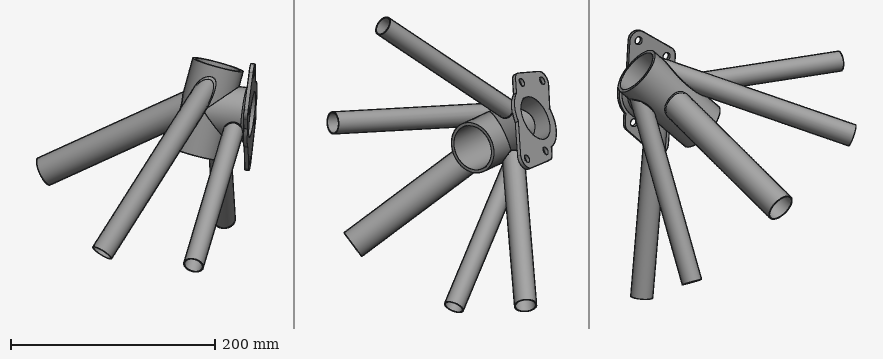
import cadquery as cq
import math

HEAD_RADIUS = 25.6
HEAD_BORE_RADIUS = 22.5
HEAD_LENGTH = 90.0
HEAD_TILT = 42.0

STUB_RADIUS = HEAD_RADIUS
STUB_BORE_RADIUS = HEAD_BORE_RADIUS
BRACKET_SWING = 12.0
PLATE_OUTER_FACE = 45.8
PLATE_THICKNESS = 4.0
PLATE_DISC_RADIUS = 32.5
LUG_RADIUS = 10.0
LUG_HOLE_RADIUS = 4.0
COLLAR_SIZE = 4.0
LUGS = [(10.5, 51.0), (-21.0, 31.5), (-13.0, -56.5), (15.7, -31.0)]

WALL = 1.0
LARGE_RADIUS = 14.7
MEDIUM_RADIUS = 11.0
SMALL_RADIUS = 10.0

SIDE_TUBE = ((-143.6, -68.8, -82.0), (0, 8.0, 10.0), LARGE_RADIUS)
FRONT_TUBE = ((-42.6, -174.5, -39.8), (3.7, 21.2, 35.0), MEDIUM_RADIUS)
LOWER_TUBE = ((-69.5, -1.3, -168.8), (0, 34.5, 19.4), SMALL_RADIUS)
DOWN_TUBE = ((9.7, 25.0, -200.0), (8.5, 7.8, 7.8), MEDIUM_RADIUS)
BRACKET_TUBE = ((60.5, -194.0, 10.2), (35.0, -13.0, 3.0), SMALL_RADIUS)


def rod(start, end, radius):
    """Solid cylinder between two points."""
    axis = cq.Vector(*end) - cq.Vector(*start)
    return cq.Solid.makeCylinder(radius, axis.Length, cq.Vector(*start), axis)


half_length = HEAD_LENGTH / 2
head_top = (
    0,
    half_length * math.cos(math.radians(HEAD_TILT)),
    half_length * math.sin(math.radians(HEAD_TILT)),
)
head_bottom = tuple(-value for value in head_top)
head_envelope = rod(head_bottom, head_top, HEAD_RADIUS)
head_tube = head_envelope.cut(rod(head_bottom, head_top, HEAD_BORE_RADIUS)).Solids()[0]

swing = math.radians(BRACKET_SWING)
stub_direction = cq.Vector(math.cos(swing), math.sin(swing), 0)
plate_direction = cq.Vector(-math.sin(swing), math.cos(swing), 0)
bracket_plane = cq.Plane((0, 0, 0), plate_direction, stub_direction)
plate_inner_face = PLATE_OUTER_FACE - PLATE_THICKNESS


def plate_blank():
    """Four rounded lugs joined by straight edges, with a disc round the stub."""
    base = cq.Workplane(bracket_plane).workplane(offset=plate_inner_face)
    blank = base.circle(PLATE_DISC_RADIUS).extrude(PLATE_THICKNESS)
    blank = blank.union(base.polyline(LUGS).close().extrude(PLATE_THICKNESS))
    for lug, next_lug in zip(LUGS, LUGS[1:] + LUGS[:1]):
        span_x = next_lug[0] - lug[0]
        span_y = next_lug[1] - lug[1]
        strip = (
            base.center((lug[0] + next_lug[0]) / 2, (lug[1] + next_lug[1]) / 2)
            .transformed(rotate=(0, 0, math.degrees(math.atan2(span_y, span_x))))
            .slot2D(math.hypot(span_x, span_y) + 2 * LUG_RADIUS, 2 * LUG_RADIUS)
            .extrude(PLATE_THICKNESS)
        )
        blank = blank.union(strip)
    holes = base.pushPoints(LUGS).circle(LUG_HOLE_RADIUS).extrude(PLATE_THICKNESS)
    return blank.cut(holes)


def stub_envelope():
    """Solid stub with the conical collar at the plate."""
    collar = cq.Solid.makeCone(
        STUB_RADIUS,
        STUB_RADIUS + COLLAR_SIZE,
        COLLAR_SIZE,
        stub_direction * (plate_inner_face - COLLAR_SIZE),
        stub_direction,
    )
    return cq.Workplane(bracket_plane).circle(STUB_RADIUS).extrude(plate_inner_face).union(collar)


bracket_envelope = stub_envelope().union(plate_blank()).cut(head_envelope).val()
bore = cq.Workplane(bracket_plane).circle(STUB_BORE_RADIUS).extrude(PLATE_OUTER_FACE)
bracket = max(bracket_envelope.cut(bore.val()).Solids(), key=lambda solid: solid.Volume())


def frame_tube(mouth, aim, radius, joints):
    """Thin tube from its open end, coped to the outside of the joints it meets."""
    tube = rod(mouth, aim, radius).cut(rod(mouth, aim, radius - WALL))
    pieces = tube.cut(*joints).Solids()
    return max(pieces, key=lambda solid: solid.Volume())


filled_bracket = bracket_envelope.fuse(bore.val()).clean()
joints = [head_envelope, filled_bracket]
frame_tubes = []
for mouth, aim, radius in (SIDE_TUBE, FRONT_TUBE, LOWER_TUBE, DOWN_TUBE, BRACKET_TUBE):
    frame_tubes.append(frame_tube(mouth, aim, radius, joints))

result = cq.Compound.makeCompound([head_tube, bracket, *frame_tubes])